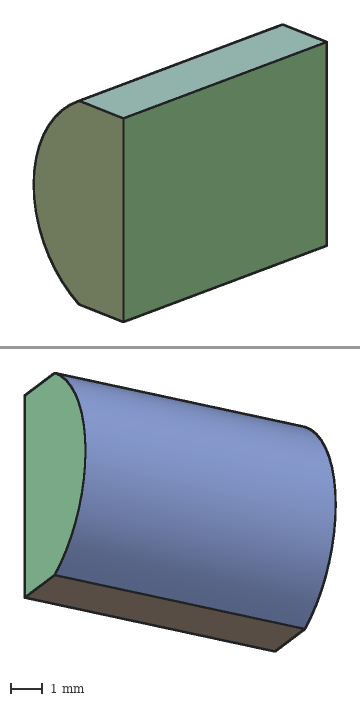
import cadquery as cq

width = 4.09
length = 9.0
height = 7.0

crown_radius = 4.0
half_width = width / 2
half_height = height / 2
crown_rise = crown_radius - (crown_radius**2 - half_height**2) ** 0.5
shoulder_x = -half_width + crown_rise

result = (
    cq.Workplane("XZ")
    .moveTo(half_width, -half_height)
    .lineTo(half_width, half_height)
    .lineTo(shoulder_x, half_height)
    .threePointArc((-half_width, 0), (shoulder_x, -half_height))
    .close()
    .extrude(length / 2, both=True)
)